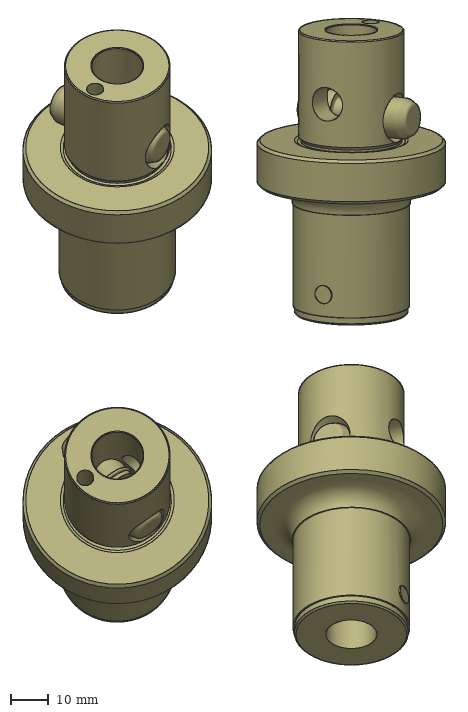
import cadquery as cq
import math

total_height = 77.0
flange_radius = 25.0
flange_bottom = 35.0
flange_top = 47.0
flange_chamfer = 0.8
tower_radius = 14.0
tower_chamfer = 0.3
shank_radius = 15.5
shank_fillet = 5.0
fillet_foot_radius = 15.7
spigot_radius = 15.1
spigot_height = 2.1
spigot_chamfer = 0.5

relief_start = 48.05
relief_radius = 13.4
relief_floor_radius = 14.3
relief_outer_radius = 15.1
relief_depth = 0.3

bore_radius = 6.8
bore_chamfer = 0.2
index_hole_radius = 2.2
index_hole_depth = 10.0
index_hole_y = -10.7
drill_point_angle = 118.0
side_hole_radius = 4.55
side_hole_z = 59.45

pin_radius = 5.5
pin_z = 54.5
pin_left = -18.8
pin_right = 14.25
pin_end_radius = 4.15
pin_taper_length = 2.3
pin_tip_round = 1.0
pin_shoulder_round = 1.3
neck_radius = 3.55
neck_left = -0.5
neck_right = 3.55
neck_fillet = 0.4
countersink_radius = 6.6
countersink_half_angle = 30.0

ring_section_radius = 0.55
ring_x = -2.15
ring_centre_radius = pin_radius
ring_groove_radius = ring_centre_radius - ring_section_radius

plug_radius = 2.5
plug_z = 8.1
plug_outer_y = 15.7

X_AXIS = cq.Vector(1, 0, 0)
Y_AXIS = cq.Vector(0, 1, 0)


def turned_blank():
    """Solid of revolution with the outside shape of the housing."""
    fillet_foot = flange_bottom - shank_fillet
    fillet_centre_radius = fillet_foot_radius + shank_fillet
    diagonal = shank_fillet * math.sqrt(0.5)
    profile = (
        cq.Workplane("XZ")
        .lineTo(spigot_radius - spigot_chamfer, 0)
        .lineTo(spigot_radius, spigot_chamfer)
        .lineTo(spigot_radius, spigot_height)
        .lineTo(shank_radius, spigot_height)
        .lineTo(shank_radius, fillet_foot)
        .lineTo(fillet_foot_radius, fillet_foot)
        .threePointArc(
            (fillet_centre_radius - diagonal, fillet_foot + diagonal),
            (fillet_centre_radius, flange_bottom),
        )
        .lineTo(flange_radius - flange_chamfer, flange_bottom)
        .lineTo(flange_radius, flange_bottom + flange_chamfer)
        .lineTo(flange_radius, flange_top - flange_chamfer)
        .lineTo(flange_radius - flange_chamfer, flange_top)
        .lineTo(relief_outer_radius, flange_top)
        .lineTo(relief_floor_radius, flange_top - relief_depth)
        .lineTo(relief_radius, flange_top - relief_depth)
        .lineTo(relief_radius, flange_top + relief_depth)
        .lineTo(tower_radius, relief_start)
        .lineTo(tower_radius, total_height - tower_chamfer)
        .lineTo(tower_radius - tower_chamfer, total_height)
        .lineTo(0, total_height)
        .close()
    )
    return profile.revolve(360, (0, 0, 0), (0, 1, 0))


def main_bore():
    """Through bore along Z with a chamfered mouth at the top."""
    mouth_radius = bore_radius + bore_chamfer
    bore = cq.Workplane("XY").circle(bore_radius).extrude(total_height)
    mouth = cq.Solid.makeCone(
        bore_radius, mouth_radius, bore_chamfer, cq.Vector(0, 0, total_height - bore_chamfer)
    )
    return bore.union(cq.Workplane(mouth))


def index_hole():
    """Blind drilled hole in the top face of the tower."""
    point_depth = index_hole_radius / math.tan(math.radians(drill_point_angle / 2))
    floor_z = total_height - index_hole_depth
    profile = (
        cq.Workplane("XZ", origin=(0, index_hole_y, 0))
        .moveTo(0, floor_z - point_depth)
        .lineTo(index_hole_radius, floor_z)
        .lineTo(index_hole_radius, total_height)
        .lineTo(0, total_height)
        .close()
    )
    return profile.revolve(360, (0, 0, 0), (0, 1, 0))


def pin_hole():
    """Cross hole along X, countersunk at both sides of the tower."""
    sink_depth = (countersink_radius - pin_radius) / math.tan(math.radians(countersink_half_angle))
    profile = (
        cq.Workplane("XZ", origin=(0, 0, pin_z))
        .moveTo(-tower_radius, 0)
        .lineTo(-tower_radius, countersink_radius)
        .lineTo(-tower_radius + sink_depth, pin_radius)
        .lineTo(tower_radius - sink_depth, pin_radius)
        .lineTo(tower_radius, countersink_radius)
        .lineTo(tower_radius, 0)
        .close()
    )
    return profile.revolve(360, (0, 0, 0), (1, 0, 0))


def wall_hole(radius, z):
    """Cylinder along +Y from the axis of the main bore out through the wall."""
    start = cq.Vector(0, 0, z)
    return cq.Workplane(cq.Solid.makeCylinder(radius, flange_radius, start, Y_AXIS))


def make_housing():
    """Turned housing with its bore and all its holes."""
    return (
        turned_blank()
        .cut(main_bore())
        .cut(index_hole())
        .cut(pin_hole())
        .cut(wall_hole(side_hole_radius, side_hole_z))
        .cut(wall_hole(plug_radius, plug_z))
    )


def pin_blank():
    """Pin body with a tapered and rounded tip at each end."""
    length = pin_right - pin_left
    taper_height = pin_radius - pin_end_radius
    blank = cq.Workplane("YZ", origin=(pin_left, 0, pin_z)).circle(pin_radius).extrude(length)
    blank = blank.faces("<X or >X").chamfer(pin_taper_length, taper_height)
    blank = blank.faces("<X or >X").edges().fillet(pin_tip_round)
    shoulders = cq.selectors.RadiusNthSelector(-1)
    return blank.edges("%CIRCLE").edges(shoulders).fillet(pin_shoulder_round)


def pin_sleeve(inner_radius, left, right):
    """Tube around the pin axis, which turns the pin down to the inner radius."""
    return (
        cq.Workplane("YZ", origin=(left, 0, pin_z))
        .circle(pin_radius + ring_section_radius)
        .circle(inner_radius)
        .extrude(right - left)
    )


def make_pin():
    """Cross pin with a filleted neck and a groove for the ring."""
    neck = pin_sleeve(neck_radius, neck_left, neck_right)
    neck = neck.edges(cq.selectors.RadiusNthSelector(0)).fillet(neck_fillet)
    ring_groove = pin_sleeve(
        ring_groove_radius, ring_x - ring_section_radius, ring_x + ring_section_radius
    )
    return pin_blank().cut(neck).cut(ring_groove)


def make_ring():
    """Round-section ring around the pin, standing proud of it by half its section."""
    centre = cq.Vector(ring_x, 0, pin_z)
    return cq.Workplane(cq.Solid.makeTorus(ring_centre_radius, ring_section_radius, centre, X_AXIS))


def make_plug():
    """Plug that fills its hole from the wall of the main bore to just past the shank."""
    start = cq.Vector(0, bore_radius, plug_z)
    return cq.Workplane(cq.Solid.makeCylinder(plug_radius, plug_outer_y - bore_radius, start, Y_AXIS))


housing = make_housing()
pin = make_pin()
ring = make_ring()
plug = make_plug()

result = cq.Compound.makeCompound([housing.val(), pin.val(), ring.val(), plug.val()])